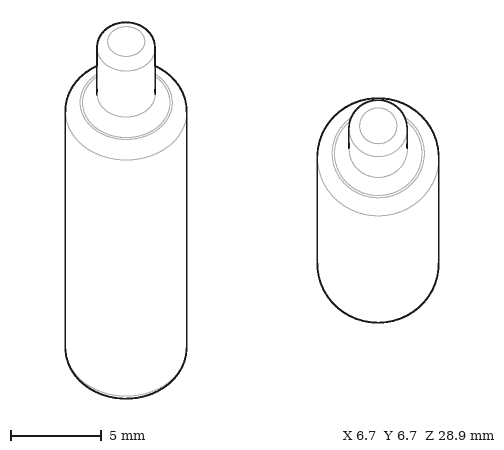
import cadquery as cq

total_height = 28.9
body_diameter = 6.7
pin_diameter = 3.2
pin_height = 5.6
body_rounding = 0.8
root_fillet = 0.8
tip_rounding = 0.58

body_radius = body_diameter / 2
pin_radius = pin_diameter / 2
body_height = total_height - pin_height


def round_bar(radius, height):
    """Cylinder standing on Z = 0."""
    return cq.Workplane("XY").circle(radius).extrude(height)


body = round_bar(body_radius, body_height)
pin = round_bar(pin_radius, total_height)
stepped_pin = body.union(pin)

stepped_pin = stepped_pin.faces(">Z").edges().fillet(tip_rounding)

stepped_pin = stepped_pin.faces("<Z").edges().fillet(body_rounding)

shoulder_edges = stepped_pin.faces("|Z").faces(">Z[-2]").edges()
root_edge = shoulder_edges.edges(cq.selectors.RadiusNthSelector(0))
stepped_pin = root_edge.fillet(root_fillet)
shoulder_edges = stepped_pin.faces("|Z").faces(">Z[-2]").edges()
rim_edge = shoulder_edges.edges(cq.selectors.RadiusNthSelector(-1))
result = rim_edge.fillet(body_rounding)